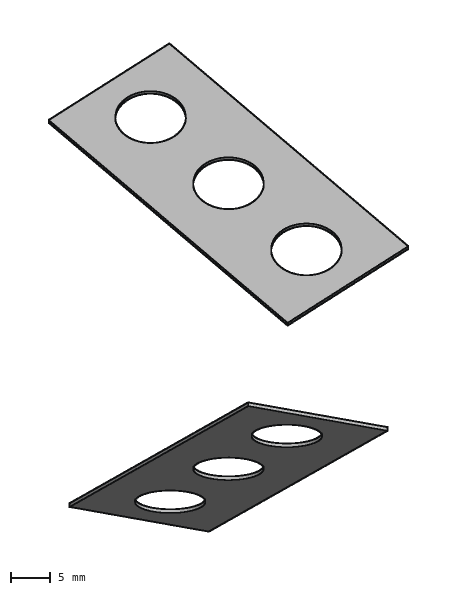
import cadquery as cq

length = 45.95
width = 20.1
thickness = 0.5

hole_diameter = 8.85
hole_count = 3
hole_pitch = 15.0

plate = cq.Workplane("XY").box(length, width, thickness)

result = (
    plate.faces(">Z")
    .workplane()
    .rarray(hole_pitch, 0.45, hole_count, 1)
    .hole(hole_diameter)
)